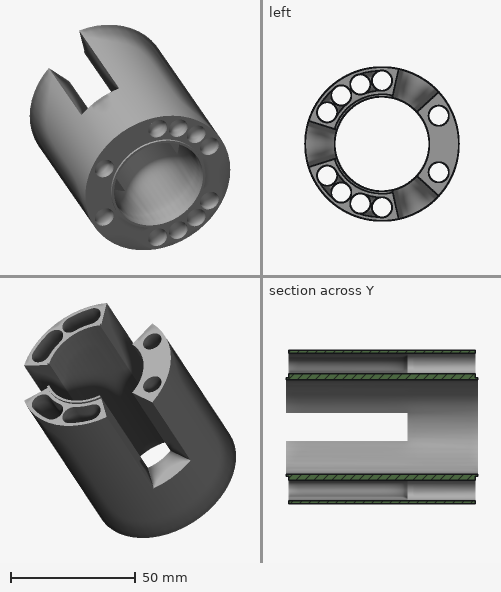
import cadquery as cq
import math

total_length = 77.3
sleeve_overhang = 0.9
body_radius = 31.0
sleeve_radius = 20.0
bore_radius = 19.0

slot_end_x = 48.85
slot_angle = 35.0
slot_pitch = 120.0
slot_count = 3
short_finger_x = 9.8
short_finger_angle = 180.0

hole_radius = 4.0
pitch_radius = 25.5
short_finger_hole_offset = 26.5
pocket_hole_pairs = [(30.0, 50.0), (70.0, 90.0)]
pocket_end_x = slot_end_x

cut_radius = 2 * body_radius


def polar(radius, angle):
    """Point in the YZ plane."""
    a = math.radians(angle)
    return radius * math.cos(a), radius * math.sin(a)


def cylinder(radius, start_x, end_x):
    return cq.Workplane("YZ", origin=(start_x, 0, 0)).circle(radius).extrude(end_x - start_x)


def sector(center_angle, width, end_x):
    """Pie-shaped cutter from the -X end of the part."""
    half = width / 2
    return (
        cq.Workplane("YZ")
        .lineTo(*polar(cut_radius, center_angle - half))
        .threePointArc(polar(cut_radius, center_angle), polar(cut_radius, center_angle + half))
        .close()
        .extrude(end_x)
    )


def through_holes(angles):
    points = [polar(pitch_radius, angle) for angle in angles]
    return cq.Workplane("YZ").pushPoints(points).circle(hole_radius).extrude(total_length)


def arc_pocket(start_angle, end_angle):
    """Curved slot joining two holes, with their circles as its round ends."""
    inner = pitch_radius - hole_radius
    outer = pitch_radius + hole_radius
    middle = (start_angle + end_angle) / 2
    band = (
        cq.Workplane("YZ")
        .moveTo(*polar(inner, start_angle))
        .lineTo(*polar(outer, start_angle))
        .threePointArc(polar(outer, middle), polar(outer, end_angle))
        .lineTo(*polar(inner, end_angle))
        .threePointArc(polar(inner, middle), polar(inner, start_angle))
        .close()
        .extrude(pocket_end_x)
    )
    return band.union(through_holes([start_angle, end_angle]))


result = cylinder(body_radius, sleeve_overhang, total_length - sleeve_overhang)
result = result.union(cylinder(sleeve_radius, 0, total_length))
result = result.cut(cylinder(bore_radius, 0, total_length))

for index in range(slot_count):
    result = result.cut(sector(index * slot_pitch, slot_angle, slot_end_x))

result = result.cut(sector(short_finger_angle, slot_pitch, short_finger_x))
result = result.cut(
    through_holes([
        short_finger_angle - short_finger_hole_offset,
        short_finger_angle + short_finger_hole_offset,
    ])
)

for first, second in pocket_hole_pairs:
    result = result.cut(arc_pocket(first, second))
    result = result.cut(arc_pocket(-second, -first))